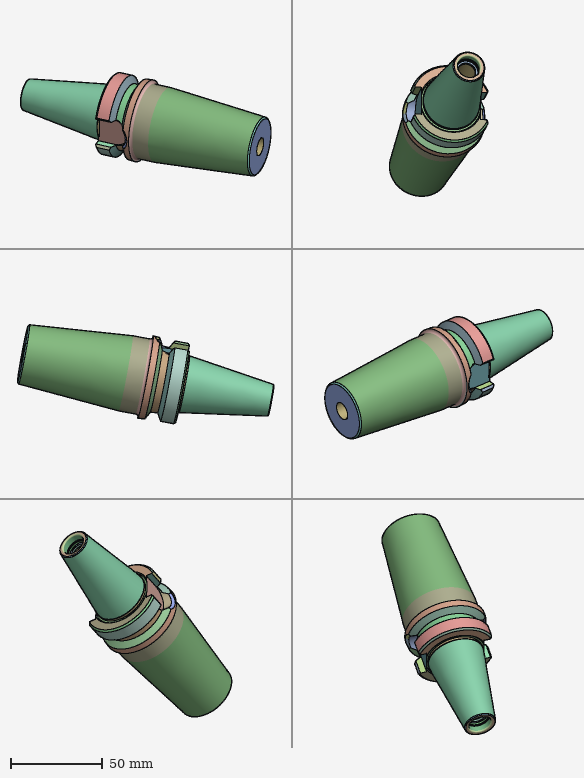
import cadquery as cq
import math

TAPER_LENGTH = 48.4
FLANGE_START = 1.0
COLLAR_END = 21.6
NOSE_CONE_START = 32.5
NOSE_END = 90.0

GAUGE_DIA = 31.75
TAPER_RATIO = 7 / 24
TAIL_DIA = GAUGE_DIA - TAPER_LENGTH * TAPER_RATIO
TAIL_CHAMFER = 0.5
NECK_DIA = 31.2

FLANGE_DIA = 46.0
FLANGE_CHAMFER = 1.0
COLLAR_FRONT_DIA = 45.5
FACE_RECESS_DIA = 34.8
FACE_RECESS_DEPTH = 0.6
FACE_RECESS_TAPER = 0.6

GROOVE_CENTER = 13.6
GROOVE_FLOOR_WIDTH = 4.0
GROOVE_FLOOR_DIA = 37.6
GROOVE_FLANK_ANGLE = 30.0

SLOT_WIDTH = 16.2
SLOT_FLOOR = 16.4
SLOT_END = 19.0
SLOT_CHAMFER = 1.6
SELECTION_MARGIN = 0.1

NOSE_DIA = 42.0
NOSE_TIP_DIA = 33.0
NOSE_TIP_CHAMFER = 0.8
NOSE_FILLET = 1.5

BORE_DIA = 10.0
PILOT_DIA = 12.5
PILOT_DEPTH = 6.6
MOUTH_ROUNDING = 0.75
RING_GROOVE_DIA = 13.1
RING_GROOVE_DEPTH = 4.5
RING_GROOVE_WIDTH = 0.8
RELIEF_DIA = 10.11
RELIEF_DEPTH = 8.0



def revolve_about_x(profile):
    """Turn a closed (x, radius) outline around the X axis."""
    return profile.close().revolve(360, (0, 0, 0), (1, 0, 0))


def make_shank():
    """Taper shank with a short neck that joins the flange."""
    tail_radius = TAIL_DIA / 2
    neck_end = FLANGE_START + FACE_RECESS_DEPTH
    return revolve_about_x(
        cq.Workplane("XY")
        .moveTo(-TAPER_LENGTH, 0)
        .lineTo(-TAPER_LENGTH, tail_radius - TAIL_CHAMFER)
        .lineTo(-TAPER_LENGTH + TAIL_CHAMFER, tail_radius + TAIL_CHAMFER * TAPER_RATIO / 2)
        .lineTo(0, GAUGE_DIA / 2)
        .lineTo(0, NECK_DIA / 2)
        .lineTo(neck_end, NECK_DIA / 2)
        .lineTo(neck_end, 0)
    )


def make_flange_blank():
    """Plain cylinder that becomes the flange and the collar."""
    return (
        cq.Workplane("YZ")
        .workplane(offset=FLANGE_START)
        .circle(FLANGE_DIA / 2)
        .extrude(COLLAR_END - FLANGE_START)
    )


def cut_drive_slot(body, side):
    """Cut one round-ended drive slot and bevel its rim; side is -1 or +1 along Y."""
    half_width = SLOT_WIDTH / 2
    arc_center = SLOT_END - half_width
    floor = side * SLOT_FLOOR
    outside = side * FLANGE_DIA
    slot = (
        cq.Workplane("XZ", origin=(0, floor, 0))
        .moveTo(0, -half_width)
        .lineTo(arc_center, -half_width)
        .threePointArc((SLOT_END, 0), (arc_center, half_width))
        .lineTo(0, half_width)
        .close()
        .extrude(floor - outside)
    )
    rim = cq.selectors.BoxSelector(
        (FLANGE_START + SELECTION_MARGIN, floor + side * SELECTION_MARGIN, -SLOT_WIDTH),
        (COLLAR_END - SELECTION_MARGIN, outside, SLOT_WIDTH),
    )
    return body.cut(slot).edges(rim).chamfer(SLOT_CHAMFER)


def make_flange_envelope():
    """Turned outline of flange, groove and collar."""
    outer = FLANGE_DIA / 2
    floor = GROOVE_FLOOR_DIA / 2
    collar_front = COLLAR_FRONT_DIA / 2
    flank = math.tan(math.radians(GROOVE_FLANK_ANGLE))
    floor_start = GROOVE_CENTER - GROOVE_FLOOR_WIDTH / 2
    floor_end = GROOVE_CENTER + GROOVE_FLOOR_WIDTH / 2
    return revolve_about_x(
        cq.Workplane("XY")
        .moveTo(FLANGE_START, 0)
        .lineTo(FLANGE_START, outer - FLANGE_CHAMFER)
        .lineTo(FLANGE_START + FLANGE_CHAMFER, outer)
        .lineTo(floor_start - (outer - floor) * flank, outer)
        .lineTo(floor_start, floor)
        .lineTo(floor_end, floor)
        .lineTo(floor_end + (collar_front - floor) * flank, collar_front)
        .lineTo(COLLAR_END, outer)
        .lineTo(COLLAR_END, 0)
    )


def make_face_recess():
    """Shallow relief in the rear flange face around the neck."""
    rim = FACE_RECESS_DIA / 2
    bottom = FLANGE_START + FACE_RECESS_DEPTH
    return revolve_about_x(
        cq.Workplane("XY")
        .moveTo(FLANGE_START, 0)
        .lineTo(FLANGE_START, rim)
        .lineTo(bottom, rim - FACE_RECESS_TAPER)
        .lineTo(bottom, 0)
    )


def make_nose():
    """Cylinder and cone ahead of the collar, with a fillet at the collar."""
    radius = NOSE_DIA / 2
    tip = NOSE_TIP_DIA / 2
    cone_slope = (radius - tip) / (NOSE_END - NOSE_CONE_START)
    diagonal = NOSE_FILLET * (1 - math.sqrt(0.5))
    return revolve_about_x(
        cq.Workplane("XY")
        .moveTo(COLLAR_END, 0)
        .lineTo(COLLAR_END, radius + NOSE_FILLET)
        .threePointArc(
            (COLLAR_END + diagonal, radius + diagonal),
            (COLLAR_END + NOSE_FILLET, radius),
        )
        .lineTo(NOSE_CONE_START, radius)
        .lineTo(NOSE_END - NOSE_TIP_CHAMFER, tip + NOSE_TIP_CHAMFER * cone_slope)
        .lineTo(NOSE_END, tip - NOSE_TIP_CHAMFER)
        .lineTo(NOSE_END, 0)
    )


def make_bore():
    """Through bore with a rounded pilot mouth, a ring groove and a relief at the tail."""
    tail = -TAPER_LENGTH
    pilot = PILOT_DIA / 2
    rounding_offset = MOUTH_ROUNDING * (1 - math.sqrt(0.5))
    groove_start = tail + RING_GROOVE_DEPTH
    groove_end = groove_start + RING_GROOVE_WIDTH
    pilot_end = tail + PILOT_DEPTH
    relief_end = tail + RELIEF_DEPTH
    return revolve_about_x(
        cq.Workplane("XY")
        .moveTo(tail, 0)
        .lineTo(tail, pilot + MOUTH_ROUNDING)
        .threePointArc(
            (tail + rounding_offset, pilot + rounding_offset),
            (tail + MOUTH_ROUNDING, pilot),
        )
        .lineTo(groove_start, pilot)
        .lineTo(groove_start, RING_GROOVE_DIA / 2)
        .lineTo(groove_end, RING_GROOVE_DIA / 2)
        .lineTo(groove_end, pilot)
        .lineTo(pilot_end, pilot)
        .lineTo(pilot_end, RELIEF_DIA / 2)
        .lineTo(relief_end, RELIEF_DIA / 2)
        .lineTo(relief_end, BORE_DIA / 2)
        .lineTo(NOSE_END, BORE_DIA / 2)
        .lineTo(NOSE_END, 0)
    )


flange = make_flange_blank()
for slot_side in (-1, 1):
    flange = cut_drive_slot(flange, slot_side)
flange = flange.intersect(make_flange_envelope()).cut(make_face_recess())

result = flange.union(make_shank()).union(make_nose()).cut(make_bore())